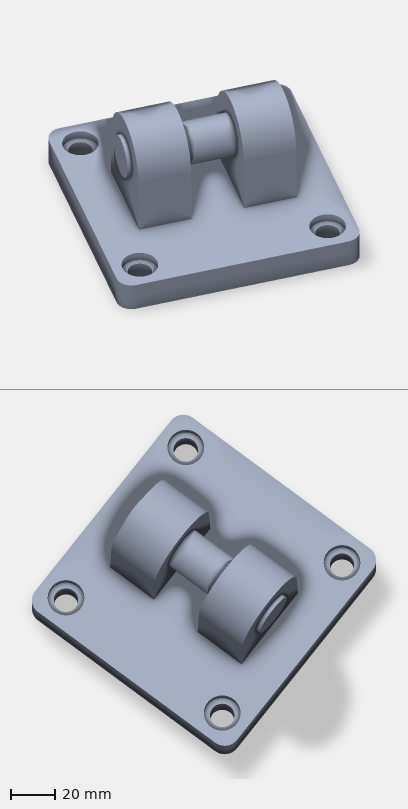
import cadquery as cq
import math

plate_side = 115.0
plate_thickness = 14.0
corner_radius = 7.0

hole_spacing = 89.0
hole_diameter = 11.0
counterbore_diameter = 16.6
counterbore_depth = 4.0

overall_height = 61.0
lug_radius = 20.0
lug_base_width = 42.0
lug_thickness = 25.0
lug_gap = 25.0
pin_diameter = 20.0
pin_length = 79.0
pin_height = overall_height - lug_radius


def make_plate():
    """Rounded square plate with a counterbored hole near each corner."""
    plate = cq.Workplane("XY").rect(plate_side, plate_side).extrude(plate_thickness)
    return (
        plate.edges("|Z").fillet(corner_radius)
        .faces(">Z").workplane()
        .rect(hole_spacing, hole_spacing, forConstruction=True).vertices()
        .cboreHole(hole_diameter, counterbore_diameter, counterbore_depth)
    )


def make_lug(back_y):
    """Lug with flanks tangent to its round top, extruded toward -Y from back_y."""
    base_x = lug_base_width / 2
    base_drop = pin_height - plate_thickness
    base_distance = math.hypot(base_x, base_drop)
    tangent_angle = math.acos(lug_radius / base_distance) - math.atan2(base_drop, base_x)
    tangent_x = lug_radius * math.cos(tangent_angle)
    tangent_z = pin_height + lug_radius * math.sin(tangent_angle)
    return (
        cq.Workplane("XZ", origin=(0, back_y, 0))
        .moveTo(-base_x, plate_thickness)
        .lineTo(base_x, plate_thickness)
        .lineTo(tangent_x, tangent_z)
        .threePointArc((0, overall_height), (-tangent_x, tangent_z))
        .close()
        .extrude(lug_thickness)
    )


def make_pin():
    """Pin along Y, centred on the plate and protruding from both lugs."""
    return (
        cq.Workplane("XZ", origin=(0, 0, pin_height))
        .circle(pin_diameter / 2)
        .extrude(pin_length / 2, both=True)
    )


result = make_plate()
for lug_back_y in (-lug_gap / 2, lug_gap / 2 + lug_thickness):
    result = result.union(make_lug(lug_back_y))
result = result.union(make_pin())